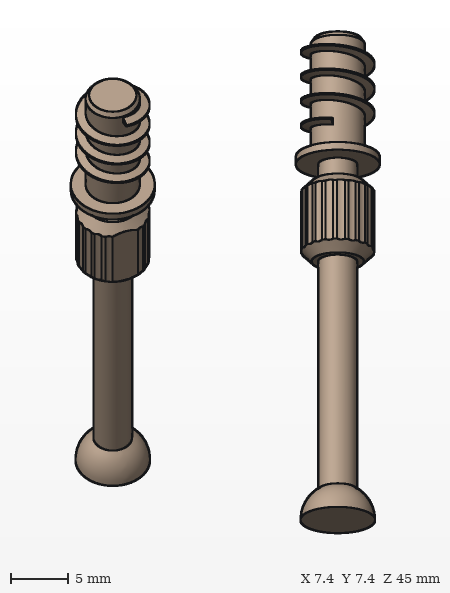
import cadquery as cq
import math

total_length = 45.0
flange_bottom = 33.3
flange_thickness = 0.7
collar_bottom = 24.2
collar_length = 7.4
collar_middle = collar_bottom + collar_length / 2

head_radius = 3.3
shaft_radius = 1.7
shank_radius = 2.4
flange_radius = 3.7
tip_chamfer_height = 0.45
tip_chamfer_depth = 0.3

thread_radius = 3.25
thread_pitch = 2.3
thread_root_width = 0.65
thread_crest_width = 0.15
thread_overlap = 0.15
thread_top = 44.2
thread_end_angle = 138.0
thread_turns = 3 + thread_end_angle / 360
thread_height = thread_pitch * thread_turns

collar_radius = 3.25
collar_chamfer = 0.95
flute_count = 20
flute_pitch_angle = 360 / flute_count
flute_angle = 12.0
flute_depth = 0.068
flat_distance = 2.95


def turned_pin():
    """Domed head, shaft, flange and chamfered shank as one revolved outline."""
    head_height = math.sqrt(head_radius**2 - shaft_radius**2)
    dome_middle = head_radius * math.sqrt(0.5)
    return (
        cq.Workplane("XZ")
        .moveTo(0, 0)
        .lineTo(head_radius, 0)
        .threePointArc((dome_middle, dome_middle), (shaft_radius, head_height))
        .lineTo(shaft_radius, flange_bottom)
        .lineTo(flange_radius, flange_bottom)
        .lineTo(flange_radius, flange_bottom + flange_thickness)
        .lineTo(shank_radius, flange_bottom + flange_thickness)
        .lineTo(shank_radius, total_length - tip_chamfer_height)
        .lineTo(shank_radius - tip_chamfer_depth, total_length)
        .lineTo(0, total_length)
        .close()
        .revolve(360, (0, 0, 0), (0, 1, 0))
    )


def thread_ridge():
    """Tapered ridge swept down to its lower end along a left-handed helix."""
    root_radius = shank_radius - thread_overlap
    helix = cq.Wire.makeHelix(thread_pitch, thread_height, shank_radius, lefthand=True)
    ridge = (
        cq.Workplane("XZ")
        .polyline([
            (root_radius, -thread_root_width / 2),
            (thread_radius, -thread_crest_width / 2),
            (thread_radius, thread_crest_width / 2),
            (root_radius, thread_root_width / 2),
        ])
        .close()
        .sweep(cq.Workplane(obj=helix), isFrenet=True)
    )
    return (
        ridge.rotate((0, 0, 0), (0, 0, 1), thread_end_angle)
        .translate((0, 0, thread_top - thread_height))
    )


def flute_cutter():
    """Full-length cylinder that cuts one concave flute, centred on +X."""
    half_width = collar_radius * math.sin(math.radians(flute_angle / 2))
    edge_distance = collar_radius * math.cos(math.radians(flute_angle / 2))
    floor_distance = collar_radius - flute_depth
    sagitta = edge_distance - floor_distance
    cutter_radius = (half_width**2 + sagitta**2) / (2 * sagitta)
    return (
        cq.Workplane("XY", origin=(0, 0, collar_bottom))
        .center(floor_distance + cutter_radius, 0)
        .circle(cutter_radius)
        .extrude(collar_length)
    )


def fluted_collar():
    """Chamfered sleeve around the shaft with flutes and one flat on +X."""
    collar = (
        cq.Workplane("XY", origin=(0, 0, collar_bottom))
        .circle(collar_radius)
        .extrude(collar_length)
        .faces("<Z or >Z")
        .chamfer(collar_chamfer)
    )
    cutter = flute_cutter()
    for index in range(flute_count):
        angle = (index + 0.5) * flute_pitch_angle
        collar = collar.cut(cutter.rotate((0, 0, 0), (0, 0, 1), angle))

    flat_cutter = (
        cq.Workplane("XY")
        .box(collar_radius, 2 * collar_radius, collar_length, centered=(False, True, True))
        .translate((flat_distance, 0, collar_middle))
    )
    bore = (
        cq.Workplane("XY", origin=(0, 0, collar_bottom))
        .circle(shaft_radius)
        .extrude(collar_length)
    )
    return collar.cut(flat_cutter).cut(bore)


pin = turned_pin().union(thread_ridge())
collar = fluted_collar()

result = cq.Compound.makeCompound([pin.val(), collar.val()])